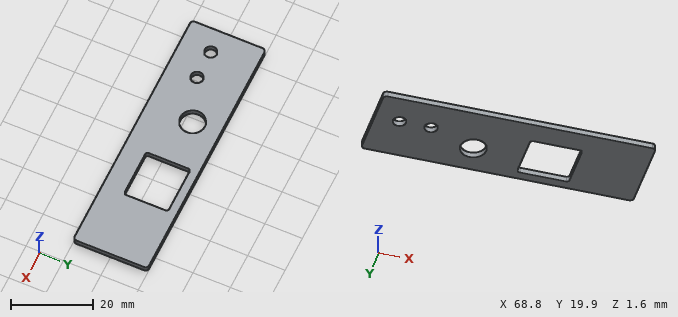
import cadquery as cq

plate_length = 68.75
plate_width = 19.9
plate_thickness = 1.6
plate_corner_radius = 0.95

small_hole_diameter = 3.2
small_hole_first_x = -28.1
small_hole_spacing = 8.0
small_hole_y = -1.9

large_hole_diameter = 6.5
large_hole_x = -8.2
large_hole_y = 2.4

window_length = 13.1
window_width = 11.8
window_corner_radius = 0.7
window_x = 10.9
window_y = 1.7


def rounded_block(length, width, corner_radius):
    """Block of plate thickness standing on Z = 0, with rounded vertical edges."""
    block = cq.Workplane("XY").box(length, width, plate_thickness, centered=(True, True, False))
    return block.edges("|Z").fillet(corner_radius)


def round_cutter(diameter, centers):
    """Cylinders of plate thickness at the given centers."""
    return cq.Workplane("XY").pushPoints(centers).circle(diameter / 2).extrude(plate_thickness)


small_hole_centers = [(small_hole_first_x + i * small_hole_spacing, small_hole_y) for i in range(2)]
small_holes = round_cutter(small_hole_diameter, small_hole_centers)
large_hole = round_cutter(large_hole_diameter, [(large_hole_x, large_hole_y)])
window = rounded_block(window_length, window_width, window_corner_radius)
window = window.translate((window_x, window_y, 0))

plate = rounded_block(plate_length, plate_width, plate_corner_radius)
result = plate.cut(small_holes).cut(large_hole).cut(window)